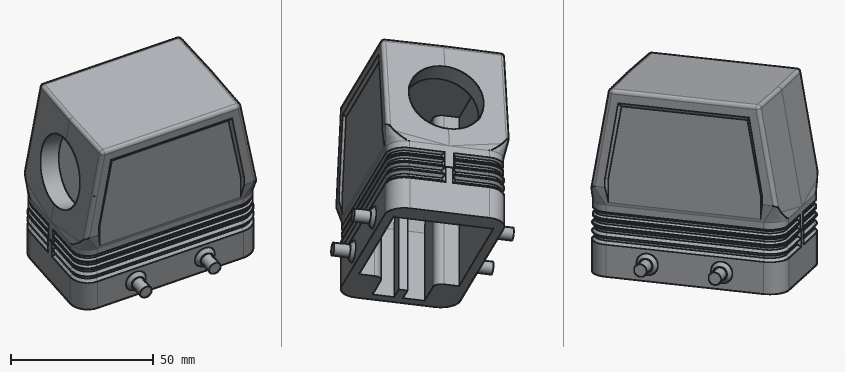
import cadquery as cq
import math

SKIRT_LENGTH = 73.0
SKIRT_WIDTH = 43.35
SKIRT_CORNER_RADIUS = 7.15
SKIRT_HEIGHT = 26.65
UPPER_SKIRT_INSET = 0.3

GROOVE_COUNT = 4
GROOVE_PITCH = 3.1
GROOVE_DEPTH = 1.1
GROOVE_BAND_BOTTOM = 12.0
GROOVE_BAND_TOP = GROOVE_BAND_BOTTOM + GROOVE_COUNT * GROOVE_PITCH
STEP_HEIGHT = GROOVE_BAND_BOTTOM + 2 * GROOVE_PITCH
BRIDGE_WIDTH = 2.6

HOOD_WIDTH = 45.0
HOOD_TOP = 70.0
HOOD_TOP_LENGTH = 56.9
HOOD_BASE_LENGTH = SKIRT_LENGTH - 2 * UPPER_SKIRT_INSET
HOOD_EDGE_RADIUS = 1.45
END_BOW = 0.4
SHOULDER_TOP = 33.6
FACET_SLOPE = 0.26

PANEL_DEPTH = 0.95
PANEL_TOP = 65.25
PANEL_TOP_LENGTH = 48.75
PANEL_KNEE_HEIGHT = 36.7
PANEL_LENGTH = 58.55
PANEL_WALL_RUN = 0.95
PANEL_TOP_WALL_RUN = 1.4

PEG_SPAN = 58.0
PEG_RADIUS = 2.3
PEG_SPACING = 27.7
PEG_HEIGHT = 6.35
PEG_COLLAR_RADIUS = 4.0
PEG_COLLAR_TOP_RADIUS = 2.55
PEG_COLLAR_LENGTH = 1.45

ENTRY_RADIUS = 13.65
ENTRY_HEIGHT = 47.4
ENTRY_DEPTH = 7.7
WALL = 3.65
SIDE_WALL = 4.3
POST_GAP = 19.0
POST_EDGE_RADIUS = 3.15
POST_FACE = 18.25
RIB_WIDTH = 3.2
RIB_TOP = 45.25
RIB_PROJECTION = 2.9

END_SLOPE = (HOOD_BASE_LENGTH - HOOD_TOP_LENGTH) / 2 / (HOOD_TOP - SKIRT_HEIGHT)
SLANT = math.hypot(1, END_SLOPE)


def hood_end(height):
    """Distance from the middle of the part to the end face's centre line at a height."""
    return HOOD_BASE_LENGTH / 2 - END_SLOPE * (height - SKIRT_HEIGHT)


def rounded_outline(width, length, radius, height):
    """Horizontal rounded-rectangle wire."""
    outline = cq.Workplane("XY", origin=(0, 0, height)).rect(width, length).val()
    return outline.fillet2D(radius, outline.Vertices())


def skirt_outline(height, inset):
    """Skirt section shrunk evenly by an inset."""
    return rounded_outline(
        SKIRT_WIDTH - 2 * inset, SKIRT_LENGTH - 2 * inset, SKIRT_CORNER_RADIUS - inset, height
    )


def ruled_body(outlines):
    """Solid with straight-line walls through a stack of outlines."""
    return cq.Workplane(obj=cq.Solid.makeLoft(outlines, True))


def oversize_slab(bottom, top):
    """Slab between two heights, reaching well past the part on all sides."""
    slab_size = 2 * SKIRT_LENGTH
    return cq.Workplane("XY", origin=(0, 0, bottom)).rect(slab_size, slab_size).extrude(top - bottom)


def make_plain_skirt():
    """Skirt without its grooves, stepping in slightly above the step height."""
    lower = ruled_body([skirt_outline(0, 0), skirt_outline(STEP_HEIGHT, 0)])
    upper = ruled_body([
        skirt_outline(0, UPPER_SKIRT_INSET),
        skirt_outline(SKIRT_HEIGHT, UPPER_SKIRT_INSET),
    ])
    return lower.union(upper)


def make_grooves():
    """Rings with 45 degree flanks, interrupted by a plain bridge on each end."""
    outlines = [skirt_outline(GROOVE_BAND_BOTTOM, 0)]
    for index in range(GROOVE_COUNT):
        bottom = GROOVE_BAND_BOTTOM + index * GROOVE_PITCH
        top = bottom + GROOVE_PITCH
        outlines += [
            skirt_outline(bottom + GROOVE_DEPTH, GROOVE_DEPTH),
            skirt_outline(top - GROOVE_DEPTH, GROOVE_DEPTH),
            skirt_outline(top, 0),
        ]
    rings = oversize_slab(GROOVE_BAND_BOTTOM, GROOVE_BAND_TOP).cut(ruled_body(outlines), clean=False)

    face = SKIRT_LENGTH / 2
    root = face - 2 * GROOVE_DEPTH
    half_face = BRIDGE_WIDTH / 2
    half_root = half_face + face - root
    bridge = (
        cq.Workplane("XY", origin=(0, 0, GROOVE_BAND_BOTTOM))
        .polyline([
            (half_root, root), (half_face, face), (half_face, 2 * face),
            (-half_face, 2 * face), (-half_face, face), (-half_root, root),
        ])
        .close()
        .extrude(GROOVE_BAND_TOP - GROOVE_BAND_BOTTOM)
    )
    return rings.cut(bridge, clean=False).cut(bridge.mirror("XZ"), clean=False)


def hood_section(height):
    """Hexagonal wire: straight sides and slightly pointed ends."""
    side = HOOD_WIDTH / 2
    tip = hood_end(height)
    corner = tip - END_BOW
    points = [(side, -corner), (side, corner), (0, tip), (-side, corner), (-side, -corner), (0, -tip)]
    return cq.Wire.makePolygon([cq.Vector(x, y, height) for x, y in points], close=True)


def make_hood():
    """Full tapered hood, down to the top of the skirt."""
    hood = ruled_body([hood_section(SKIRT_HEIGHT), hood_section(HOOD_TOP)])
    mid_height = (SKIRT_HEIGHT + HOOD_TOP) / 2
    edges = hood.faces(">Z").edges()
    for side in (-1, 1):
        for end in (-1, 1):
            middle = (side * HOOD_WIDTH / 2, end * (hood_end(mid_height) - END_BOW), mid_height)
            edges = edges.add(hood.edges(cq.NearestToPointSelector(middle)))
    return edges.fillet(HOOD_EDGE_RADIUS)


def make_end_facets():
    """Wedge filling the gap between the pointed hood ends and the flat skirt ends."""
    bottom = HOOD_BASE_LENGTH / 2
    top = bottom - FACET_SLOPE * (SHOULDER_TOP - SKIRT_HEIGHT)
    return (
        cq.Workplane("YZ")
        .polyline([
            (-bottom, SKIRT_HEIGHT), (bottom, SKIRT_HEIGHT),
            (top, SHOULDER_TOP), (-top, SHOULDER_TOP),
        ])
        .close()
        .extrude(HOOD_WIDTH / 2 - HOOD_EDGE_RADIUS, both=True)
    )


def make_shoulder_waste():
    """Material around the shoulder, which narrows from the hood outline to the skirt outline."""
    shoulder = ruled_body([
        skirt_outline(SKIRT_HEIGHT, UPPER_SKIRT_INSET),
        rounded_outline(HOOD_WIDTH, 2 * hood_end(SHOULDER_TOP), HOOD_EDGE_RADIUS, SHOULDER_TOP),
    ])
    return oversize_slab(SKIRT_HEIGHT, SHOULDER_TOP).cut(shoulder, clean=False)


def panel_outline(x, wall_run, top_wall_run):
    """Upright panel outline at x, drawn in by the wall runs and open towards the skirt."""
    half_top = PANEL_TOP_LENGTH / 2 - wall_run
    half_length = PANEL_LENGTH / 2 - wall_run
    top = PANEL_TOP - top_wall_run
    points = [
        (-half_length, SKIRT_HEIGHT), (half_length, SKIRT_HEIGHT), (half_length, PANEL_KNEE_HEIGHT),
        (half_top, top), (-half_top, top), (-half_length, PANEL_KNEE_HEIGHT),
    ]
    return cq.Wire.makePolygon([cq.Vector(x, y, z) for y, z in points], close=True)


def make_panel_recess():
    """Recess with sloping walls in the +X side."""
    face = HOOD_WIDTH / 2
    return ruled_body([
        panel_outline(face - PANEL_DEPTH, PANEL_WALL_RUN, PANEL_TOP_WALL_RUN),
        panel_outline(face, 0, 0),
    ])


def make_peg():
    """Peg with a conical collar on the +X side, starting inside the skirt wall."""
    wall = SKIRT_WIDTH / 2
    root = wall - WALL
    collar_end = wall + PEG_COLLAR_LENGTH
    return (
        cq.Workplane("XY")
        .polyline([
            (root, 0), (root, PEG_COLLAR_RADIUS), (wall, PEG_COLLAR_RADIUS),
            (collar_end, PEG_COLLAR_TOP_RADIUS), (collar_end, PEG_RADIUS),
            (PEG_SPAN / 2, PEG_RADIUS), (PEG_SPAN / 2, 0),
        ])
        .close()
        .revolve(360, (0, 0, 0), (1, 0, 0))
        .translate((0, 0, PEG_HEIGHT))
    )


def make_cavity():
    """Hollow open at the bottom, with ends parallel to the hood's end faces, far posts and a rib."""
    ceiling = HOOD_TOP - WALL
    entry_wall = ENTRY_DEPTH * SLANT
    far_wall = WALL * SLANT
    knee = SKIRT_HEIGHT
    half_width = HOOD_WIDTH / 2 - SIDE_WALL
    cavity = (
        cq.Workplane("YZ")
        .polyline([
            (entry_wall - hood_end(knee), 0), (entry_wall - hood_end(knee), knee),
            (entry_wall - hood_end(ceiling), ceiling), (hood_end(ceiling) - far_wall, ceiling),
            (hood_end(knee) - far_wall, knee), (hood_end(knee) - far_wall, 0),
        ])
        .close()
        .extrude(half_width, both=True)
    )
    post_width = half_width - POST_GAP / 2
    post = (
        cq.Workplane("XY")
        .box(post_width, SKIRT_LENGTH / 2 - POST_FACE, HOOD_TOP, centered=False)
        .edges("|Z and <X and <Y")
        .fillet(POST_EDGE_RADIUS)
        .translate((POST_GAP / 2, POST_FACE, 0))
    )
    rib_face = hood_end(RIB_TOP) - far_wall - RIB_PROJECTION
    rib = (
        cq.Workplane("XY")
        .box(RIB_WIDTH, SKIRT_LENGTH / 2 - rib_face, RIB_TOP, centered=(True, False, False))
        .translate((0, rib_face, 0))
    )
    return cavity.cut(post).cut(post.mirror("YZ")).cut(rib)


def make_entry():
    """Bore square to the -Y end face, running into the cavity."""
    face = cq.Plane(
        origin=(0, -hood_end(ENTRY_HEIGHT), ENTRY_HEIGHT),
        xDir=(1, 0, 0),
        normal=(0, 1, -END_SLOPE),
    )
    return cq.Workplane(face).circle(ENTRY_RADIUS).extrude(ENTRY_DEPTH + WALL, both=True)


hood = make_hood().union(make_end_facets()).cut(make_shoulder_waste(), clean=False)
body = make_plain_skirt().cut(make_grooves(), clean=False)
body = body.union(hood, clean=False)

recess = make_panel_recess()
body = body.cut(recess, clean=False).cut(recess.mirror("YZ"), clean=False)

for peg_y in (-PEG_SPACING / 2, PEG_SPACING / 2):
    peg = make_peg().translate((0, peg_y, 0))
    body = body.union(peg, clean=False).union(peg.mirror("YZ"), clean=False)

result = body.cut(make_cavity(), clean=False).cut(make_entry(), clean=False)